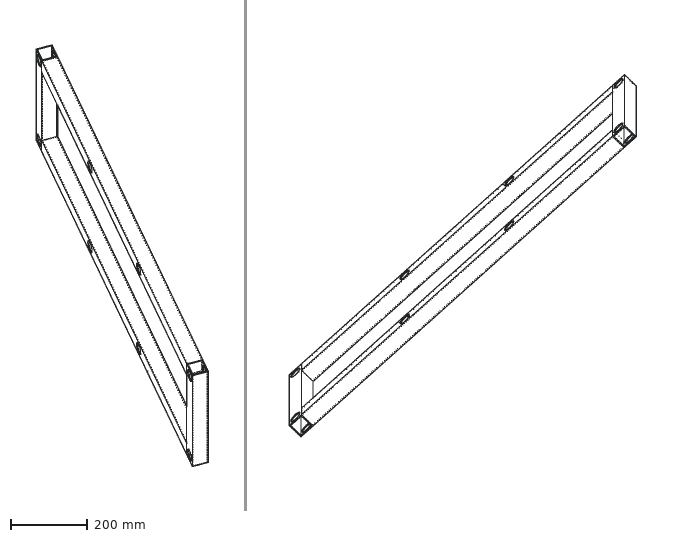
import cadquery as cq

frame_length = 1219.0
frame_height = 356.0
rail_length = 1130.0
wall = 3.0
hole_diameter = 33.0
rail_hole_spacing = 380.0

tube_width = (frame_length - rail_length) / 2
bore_width = tube_width - 2 * wall
upright_x = (frame_length - tube_width) / 2
rail_z = (frame_height - tube_width) / 2


def square_tube(plane, length):
    """Open-ended square tube centred on the origin, along the plane's normal."""
    outer = cq.Workplane(plane).rect(tube_width, tube_width).extrude(length / 2, both=True)
    bore = cq.Workplane(plane).rect(bore_width, bore_width).extrude(length / 2, both=True)
    return outer.cut(bore)


def cross_holes(centres):
    """Round cutters along Y, through both the front and the back wall."""
    return (
        cq.Workplane("XZ")
        .pushPoints(centres)
        .circle(hole_diameter / 2)
        .extrude(tube_width, both=True)
    )


def make_upright(x):
    """Full-height vertical tube with a hole level with each rail."""
    holes = cross_holes([(0, -rail_z), (0, rail_z)])
    return square_tube("XY", frame_height).cut(holes).translate((x, 0, 0))


def make_rail(z):
    """Horizontal tube that fits between the uprights, with two holes."""
    holes = cross_holes([(-rail_hole_spacing / 2, 0), (rail_hole_spacing / 2, 0)])
    return square_tube("YZ", rail_length).cut(holes).translate((0, 0, z))


uprights = [make_upright(x).val() for x in (-upright_x, upright_x)]
rails = [make_rail(z).val() for z in (-rail_z, rail_z)]

result = cq.Compound.makeCompound([*uprights, *rails])